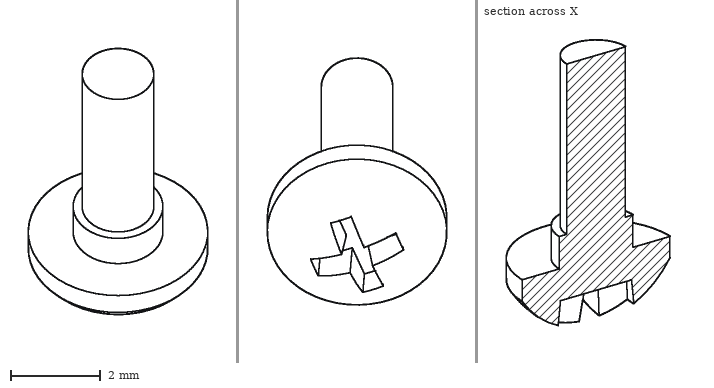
import cadquery as cq
import math

total_height = 6.6
head_diameter = 4.0
collar_diameter = head_diameter / 2
shank_diameter = 1.6

shank_length = 4.2
collar_height = 0.8
rim_height = 0.535

slot_width = 0.535
wing_edge_height = 0.2
recess_depth = 0.8
recess_draft = 6.0

head_radius = head_diameter / 2
rim_bottom = total_height - shank_length - collar_height - rim_height

corner_radius = slot_width / math.sqrt(2)
sphere_center = (head_radius**2 + rim_bottom**2 - corner_radius**2) / (2 * rim_bottom)
sphere_radius = math.hypot(corner_radius, sphere_center)
pole = sphere_center - sphere_radius
arc_mid_radius = head_radius / 2
arc_mid_z = sphere_center - math.sqrt(sphere_radius**2 - arc_mid_radius**2)

draft_slope = math.tan(math.radians(recess_draft))
wing_edge_radius = math.sqrt(sphere_radius**2 - (sphere_center - wing_edge_height) ** 2)
wing_span = 2 * (wing_edge_radius + wing_edge_height * draft_slope)


def cylinder(diameter, bottom, height):
    return cq.Workplane("XY").workplane(offset=bottom).circle(diameter / 2).extrude(height)


def tapered_slot(length_x, length_y):
    widening = -2 * pole * draft_slope
    return (
        cq.Workplane("XY")
        .workplane(offset=pole)
        .rect(length_x + widening, length_y + widening)
        .extrude(recess_depth - pole, taper=recess_draft)
    )


dome = (
    cq.Workplane("XZ")
    .moveTo(0, pole)
    .threePointArc((arc_mid_radius, arc_mid_z), (head_radius, rim_bottom))
    .lineTo(0, rim_bottom)
    .close()
    .revolve(360, (0, 0, 0), (0, 1, 0))
)

rim_top = rim_bottom + rim_height
collar_top = rim_top + collar_height
rim = cylinder(head_diameter, rim_bottom, rim_height)
collar = cylinder(collar_diameter, rim_top, collar_height)
shank = cylinder(shank_diameter, collar_top, shank_length)
screw = dome.union(rim).union(collar).union(shank)

result = screw.cut(tapered_slot(wing_span, slot_width)).cut(tapered_slot(slot_width, wing_span))